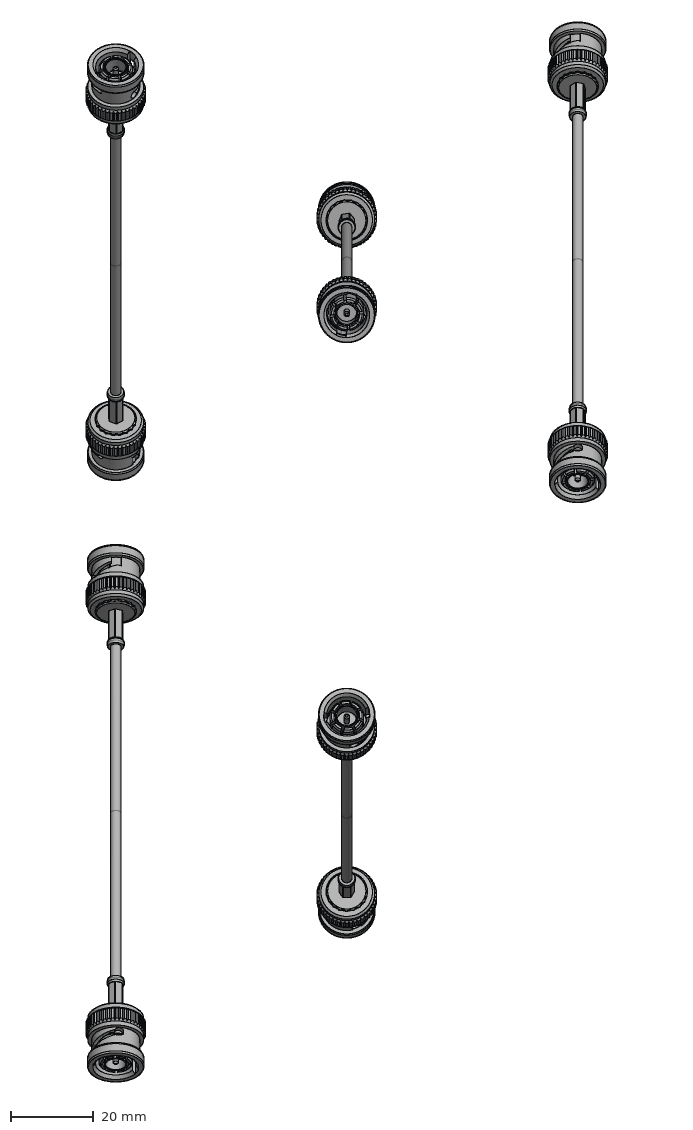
import cadquery as cq
import math


overall_length = 144.6
knurl_diameter = 14.46

rim_length = 2.95
nut_start = 7.85
knurl_start = 9.6
knurl_end = 12.35
nut_end = 14.0
nut_shoulder = 14.5
cap_teeth_end = 15.0
plug_length = 15.35
ferrule_end = 24.95

rim_radius = 6.85
barrel_radius = 5.8
nut_radius = 6.75
knurl_radius = knurl_diameter / 2
nut_shoulder_radius = 6.2
cap_radius = 5.0
rear_face_radius = 4.6
rim_chamfer_length = 0.45
rim_chamfer_depth = 0.2
knurl_chamfer = 0.6

knurl_tooth_count = 44
knurl_tooth_depth = 0.3
knurl_tip_share = 0.5
cap_tooth_count = 18
cap_tooth_depth = 0.3
cap_tip_share = 0.1

funnel_radius = 5.5
funnel_depth = 0.9
mouth_bore_radius = 4.85
mouth_bore_depth = 7.0
contact_outer_radius = 4.1
contact_tip_radius = 3.7
contact_tip_taper = 0.5
contact_inner_radius = 3.1
contact_setback = 0.9
contact_slot_count = 8
contact_slot_width = 0.6
contact_slot_length = 4.0
sleeve_outer_radius = 2.75
sleeve_bore_radius = 2.45
sleeve_bore_depth = 5.0
pin_radius = 0.65
pin_tip_radius = 0.3
pin_tip_taper = 0.4
pin_setback = 1.0

bayonet_count = 2
channel_angle = -66.0
channel_width = 2.4
channel_outer_radius = 5.55
ramp_start_depth = 4.6
ramp_end_depth = 6.7
ramp_end_angle = -145.0
ramp_width = 1.5
lock_hole_radius = 1.1

collar_radius = 2.1
collar_end_radius = 1.95
crimp_flat_radius = 1.7
crimp_corner_radius = 1.9
crimp_corner_angle = 48.0
crimp_end = 23.3
collar_start = 23.8
collar_taper_start = 24.35
cable_radius = 1.27

flip_axis_angle = 78.0


def cylinder(radius, top, bottom):
    """A solid cylinder on Z between two distances back from the mouth."""
    return cq.Workplane("XY").workplane(offset=-bottom).circle(radius).extrude(bottom - top)


def radial_cylinder(radius, angle, depth, reach):
    """A cylinder lying along the radius at the given angle."""
    direction = cq.Vector(math.cos(math.radians(angle)), math.sin(math.radians(angle)), 0)
    return cq.Workplane(cq.Solid.makeCylinder(radius, reach, cq.Vector(0, 0, -depth), direction))


def plug_outside():
    profile = [
        (0, 0),
        (rim_radius - rim_chamfer_depth, 0),
        (rim_radius, -rim_chamfer_length),
        (rim_radius, -rim_length + rim_chamfer_length),
        (rim_radius - rim_chamfer_depth, -rim_length),
        (barrel_radius, -rim_length),
        (barrel_radius, -nut_start),
        (nut_radius, -nut_start),
        (nut_radius, -knurl_start + knurl_chamfer),
        (knurl_radius, -knurl_start),
        (knurl_radius, -knurl_end),
        (nut_radius, -knurl_end - knurl_chamfer),
        (nut_radius, -nut_end),
        (nut_shoulder_radius, -nut_shoulder),
        (cap_radius, -nut_shoulder),
        (cap_radius, -cap_teeth_end),
        (rear_face_radius, -plug_length),
        (0, -plug_length),
    ]
    return cq.Workplane("XZ").polyline(profile).close().revolve(360, (0, 0, 0), (0, 1, 0))


def tooth_grooves(tip_radius, tooth_depth, tip_share, tooth_count, top, bottom):
    """V grooves around a cylinder; the flat tooth tips take the given share of the pitch."""
    pitch = 2 * math.pi / tooth_count
    root_radius = tip_radius - tooth_depth
    tip_half_angle = pitch * tip_share / 2
    outline = []
    for tooth in range(tooth_count):
        for radius, angle in (
            (root_radius, (tooth - 0.5) * pitch),
            (tip_radius, tooth * pitch - tip_half_angle),
            (tip_radius, tooth * pitch + tip_half_angle),
        ):
            outline.append((radius * math.cos(angle), radius * math.sin(angle)))
    teeth = cq.Workplane("XY").workplane(offset=-bottom).polyline(outline).close().extrude(bottom - top)
    return cylinder(tip_radius + tooth_depth, top, bottom).cut(teeth)


def knurl_grooves():
    top = knurl_start - knurl_chamfer
    bottom = knurl_end + knurl_chamfer
    return tooth_grooves(knurl_radius, knurl_tooth_depth, knurl_tip_share, knurl_tooth_count, top, bottom)


def cap_grooves():
    return tooth_grooves(
        cap_radius, cap_tooth_depth, cap_tip_share, cap_tooth_count, nut_shoulder, cap_teeth_end
    )


def plug_inside():
    """Everything hollow in the mouth: the funnel, the bore, the slotted contact, the sleeve and the pin."""
    slot_depth = contact_setback + contact_slot_length
    hollow = [
        (0, 0),
        (funnel_radius, 0),
        (mouth_bore_radius, -funnel_depth),
        (mouth_bore_radius, -mouth_bore_depth),
        (contact_outer_radius, -mouth_bore_depth),
        (contact_outer_radius, -contact_setback - contact_tip_taper),
        (contact_tip_radius, -contact_setback),
        (contact_inner_radius, -contact_setback),
        (contact_inner_radius, -slot_depth),
        (sleeve_outer_radius, -slot_depth),
        (sleeve_outer_radius, -contact_setback),
        (sleeve_bore_radius, -contact_setback),
        (sleeve_bore_radius, -sleeve_bore_depth),
        (pin_radius, -sleeve_bore_depth),
        (pin_radius, -pin_setback - pin_tip_taper),
        (pin_tip_radius, -pin_setback),
        (0, -pin_setback),
    ]
    cavity = cq.Workplane("XZ").polyline(hollow).close().revolve(360, (0, 0, 0), (0, 1, 0))
    slot_radius = (contact_inner_radius + contact_outer_radius) / 2
    slots = (
        cq.Workplane("XY")
        .workplane(offset=-slot_depth)
        .polarArray(slot_radius, 0, 360, contact_slot_count)
        .rect(contact_outer_radius - contact_inner_radius + contact_slot_width, contact_slot_width)
        .extrude(slot_depth)
    )
    return cavity.union(slots)


def bayonet_slot():
    """An entry channel inside the rim, a helical ramp through the barrel and a round lock hole."""
    reach = rim_radius
    inner_radius = (contact_outer_radius + mouth_bore_radius) / 2
    channel_end_depth = ramp_start_depth + ramp_width / 2
    channel = (
        cq.Workplane("XY")
        .workplane(offset=-channel_end_depth)
        .center(reach / 2, 0)
        .rect(reach, channel_width)
        .extrude(channel_end_depth)
        .rotate((0, 0, 0), (0, 0, 1), channel_angle)
    )
    rim_wall = cylinder(rim_radius + channel_width, 0, rim_length)
    rim_wall = rim_wall.cut(cylinder(channel_outer_radius, 0, rim_length))
    channel = channel.cut(rim_wall)
    turn = channel_angle - ramp_end_angle
    rise = ramp_end_depth - ramp_start_depth
    path = cq.Wire.makeHelix(rise * 360 / turn, rise, inner_radius)
    ramp = (
        cq.Workplane("XZ")
        .center((inner_radius + reach) / 2, 0)
        .rect(reach - inner_radius, ramp_width)
        .sweep(cq.Workplane(path), isFrenet=True)
        .rotate((0, 0, 0), (1, 0, 0), 180)
        .rotate((0, 0, 0), (0, 0, 1), channel_angle)
        .translate((0, 0, -ramp_start_depth))
    )
    lock_hole = radial_cylinder(lock_hole_radius, ramp_end_angle, ramp_end_depth, reach)
    core = cylinder(inner_radius, 0, plug_length)
    return channel.union(ramp).union(lock_hole).cut(core)


def make_plug():
    plug = plug_outside().cut(knurl_grooves()).cut(cap_grooves()).cut(plug_inside())
    slot = bayonet_slot()
    for index in range(bayonet_count):
        plug = plug.cut(slot.rotate((0, 0, 0), (0, 0, 1), index * 360 / bayonet_count))
    return plug


def make_ferrule():
    """A hexagonally crimped sleeve with a round collar left at its cable end, bored for the cable."""
    across_corners = 2 * crimp_flat_radius / math.cos(math.pi / 6)
    hexagon = (
        cq.Workplane("XY")
        .workplane(offset=-crimp_end)
        .polygon(6, across_corners)
        .extrude(crimp_end - plug_length)
        .rotate((0, 0, 0), (0, 0, 1), crimp_corner_angle)
    )
    crimp = hexagon.intersect(cylinder(crimp_corner_radius, plug_length, crimp_end))
    collar_profile = [
        (0, -crimp_end),
        (crimp_corner_radius, -crimp_end),
        (collar_radius, -collar_start),
        (collar_radius, -collar_taper_start),
        (collar_end_radius, -ferrule_end),
        (0, -ferrule_end),
    ]
    collar = cq.Workplane("XZ").polyline(collar_profile).close().revolve(360, (0, 0, 0), (0, 1, 0))
    return crimp.union(collar).cut(cylinder(cable_radius, plug_length, ferrule_end))


def upper_end(body):
    return body.translate((0, 0, overall_length / 2))


def lower_end(body):
    angle = math.radians(flip_axis_angle)
    return upper_end(body).rotate((0, 0, 0), (math.cos(angle), math.sin(angle), 0), 180)


plug = make_plug()
ferrule = make_ferrule()
cable_length = overall_length - 2 * plug_length
cable = cq.Workplane("XY").circle(cable_radius).extrude(cable_length / 2, both=True)

bodies = [cable.val()]
for place in (upper_end, lower_end):
    bodies.append(place(plug).val())
    bodies.append(place(ferrule).val())

result = cq.Compound.makeCompound(bodies)